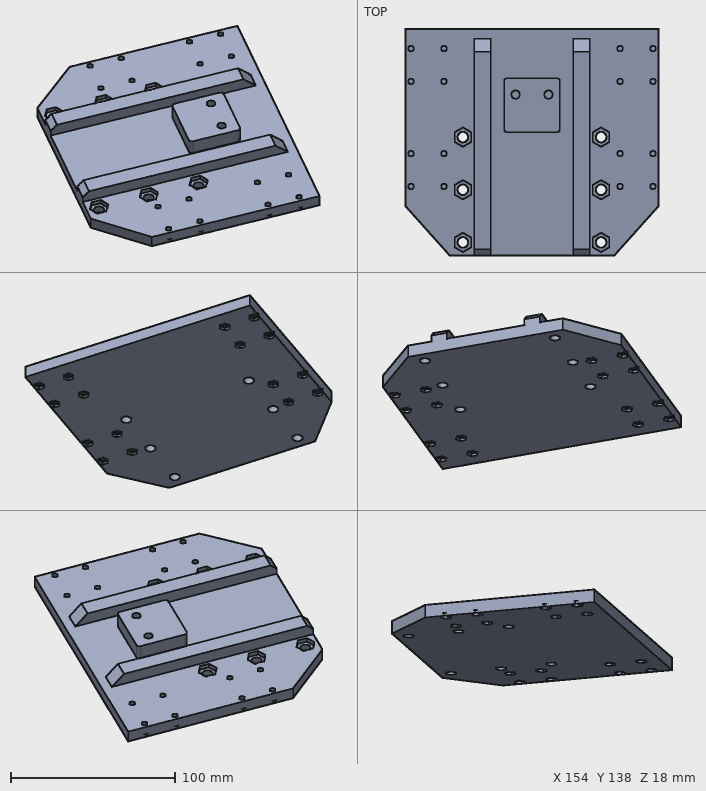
import cadquery as cq
import math

hex_sides = 6

plate_width = 154.0
plate_length = 138.0
plate_thickness = 8.0
corner_cut_x = 27.0
corner_cut_y = 30.0

rail_width = 10.0
rail_height = 8.0
rail_centre_x = 30.0
rail_back_gap = 6.0
rail_front_chamfer = rail_height / 2

block_width = 34.0
block_length = 33.0
block_height = 10.0
block_corner_radius = 2.0
block_back_gap = 30.0
block_hole_diameter = 5.1
block_hole_spacing = 20.0
block_hole_back_gap = 10.0

screw_hole_diameter = 3.4
screw_pitch = 20.0
screw_edge_gap = 3.4
screw_back_gap = 12.0
screw_group_step = 63.9
screw_nut_side_clearance = 0.02
screw_nut_corners = 2 * (screw_edge_gap - screw_nut_side_clearance)
screw_nut_depth = 1.8
web_thickness = 0.3

bolt_hole_diameter = 6.3
bolt_nut_flats = 10.2
bolt_nut_depth = 3.0
bolt_centre_x = 42.0
bolt_front_gap = 8.0
bolt_pitch = 32.0
bolt_count = 3

half_width = plate_width / 2
back_y = plate_length / 2
front_y = -back_y
plate_top = plate_thickness
block_top = plate_top + block_height


def make_plate():
    """Flat plate with its two front corners cut off."""
    outline = [
        (-half_width, back_y),
        (half_width, back_y),
        (half_width, front_y + corner_cut_y),
        (half_width - corner_cut_x, front_y),
        (-half_width + corner_cut_x, front_y),
        (-half_width, front_y + corner_cut_y),
    ]
    return cq.Workplane("XY").polyline(outline).close().extrude(plate_thickness)


def make_rail(centre_x):
    """Rail with a full 45 degree ramp at the back and a half-height chamfer at the front."""
    ramp_foot_y = back_y - rail_back_gap
    rail_top = plate_top + rail_height
    profile = [
        (front_y, 0),
        (front_y, rail_top - rail_front_chamfer),
        (front_y + rail_front_chamfer, rail_top),
        (ramp_foot_y - rail_height, rail_top),
        (ramp_foot_y, plate_top),
        (ramp_foot_y, 0),
    ]
    start_x = centre_x - rail_width / 2
    return cq.Workplane("YZ", origin=(start_x, 0, 0)).polyline(profile).close().extrude(rail_width)


def make_block():
    """Block with rounded upright edges and two blind holes bored down to the plate's top face."""
    block_back_y = back_y - block_back_gap
    hole_y = block_back_y - block_hole_back_gap
    block = (
        cq.Workplane("XY", origin=(0, block_back_y - block_length / 2, plate_top))
        .rect(block_width, block_length)
        .extrude(block_height)
        .edges("|Z")
        .fillet(block_corner_radius)
    )
    holes = (
        cq.Workplane("XY", origin=(0, hole_y, block_top))
        .pushPoints([(-block_hole_spacing / 2, 0), (block_hole_spacing / 2, 0)])
        .circle(block_hole_diameter / 2)
        .extrude(-block_height)
    )
    return block.cut(holes)


def screw_positions():
    """Two square groups of four screws along each side of the plate."""
    points = []
    for side in (-1, 1):
        for column in range(2):
            x = side * (half_width - screw_edge_gap - column * screw_pitch)
            for group in range(2):
                for row in range(2):
                    y = back_y - screw_back_gap - group * screw_group_step - row * screw_pitch
                    points.append((x, y))
    return points


def make_screw_cutters():
    """Blind holes from the top and nut pockets from below, kept apart by the thin web."""
    points = screw_positions()
    holes = (
        cq.Workplane("XY", origin=(0, 0, screw_nut_depth + web_thickness))
        .pushPoints(points)
        .circle(screw_hole_diameter / 2)
        .extrude(plate_thickness)
    )
    pockets = (
        cq.Workplane("XY")
        .pushPoints(points)
        .polygon(hex_sides, screw_nut_corners)
        .extrude(screw_nut_depth)
    )
    return holes.union(pockets)


def make_bolt_cutter(x, y):
    """Through hole topped by a hexagonal recess whose corners point along Y."""
    nut_corners = bolt_nut_flats / math.cos(math.pi / hex_sides)
    hole = cq.Workplane("XY", origin=(x, y, 0)).circle(bolt_hole_diameter / 2).extrude(plate_thickness)
    recess = (
        cq.Workplane("XY", origin=(x, y, plate_top - bolt_nut_depth))
        .transformed(rotate=(0, 0, 180 / hex_sides))
        .polygon(hex_sides, nut_corners)
        .extrude(bolt_nut_depth)
    )
    return hole.union(recess)


result = make_plate()
result = result.union(make_block())
for side in (-1, 1):
    result = result.union(make_rail(side * rail_centre_x))
result = result.cut(make_screw_cutters())
for side in (-1, 1):
    for row in range(bolt_count):
        bolt_y = front_y + bolt_front_gap + row * bolt_pitch
        result = result.cut(make_bolt_cutter(side * bolt_centre_x, bolt_y))